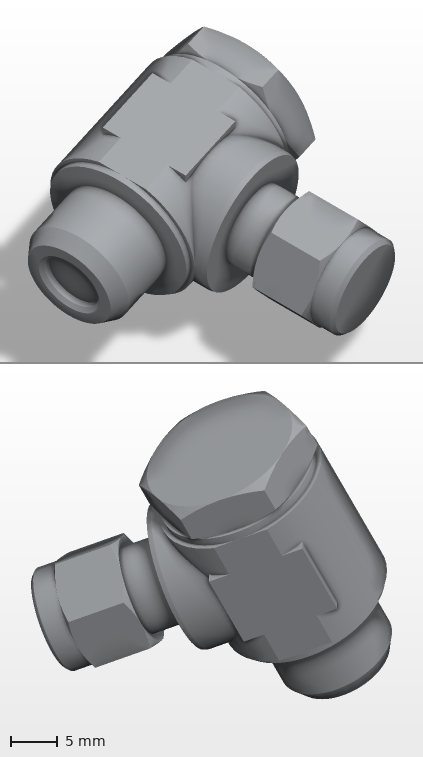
import cadquery as cq
import math


barrel_radius = 9.53
barrel_half_length = 8.5
body_half_height = 18.0 / 2
pad_half_length_x = 5.48
pad_half_width_y = 4.5

collar_radius = body_half_height
bolt_head_start = 9.45
bolt_head_end = 13.85
bolt_head_across_flats = 17.05
seat_edge = -9.25
seat_bottom = -9.55
stem_radius = 6.55
stem_end = -18.15
stem_tip_radius = 5.48
stem_tip_length = 1.8
recess_mouth_radius = 4.0
recess_radius = 3.55
recess_chamfer_depth = 0.45
recess_depth = 1.2

branch_radius = barrel_half_length
branch_end = 11.05
branch_edge_length = 0.57
branch_edge_drop = 0.15
neck_radius = 4.95
nut_start = 15.47
nut_end = 23.0
nut_across_flats = 11.92
nut_dish_depth = 0.35
sleeve_radius = 5.87
sleeve_end = 25.95
sleeve_chamfer = 0.45

hex_chamfer_angle = math.radians(30)


def revolve_y(profile):
    """Revolve (radius, y) points about the Y axis."""
    return cq.Workplane("XY").polyline(profile).close().revolve(360, (0, 0, 0), (0, 1, 0))


def revolve_x(profile):
    """Revolve (x, radius) points about the X axis."""
    return cq.Workplane("XY").polyline(profile).close().revolve(360, (0, 0, 0), (1, 0, 0))


def chamfered_hex(across_flats, length):
    """Hexagon rising from z = 0, corners on X, with both ends turned to a cone."""
    corner_radius = across_flats / math.sqrt(3)
    end_radius = across_flats / 2
    cone_length = (corner_radius - end_radius) * math.tan(hex_chamfer_angle)
    prism = cq.Workplane("XY").polygon(6, 2 * corner_radius).extrude(length)
    turned_blank = (
        cq.Workplane("XZ")
        .polyline([
            (0, 0),
            (end_radius, 0),
            (corner_radius, cone_length),
            (corner_radius, length - cone_length),
            (end_radius, length),
            (0, length),
        ])
        .close()
        .revolve(360, (0, 0, 0), (0, 1, 0))
    )
    return prism.intersect(turned_blank)


def make_body():
    barrel = revolve_y([
        (0, -barrel_half_length),
        (barrel_radius, -barrel_half_length),
        (barrel_radius, barrel_half_length),
        (0, barrel_half_length),
    ])
    flat_limits = cq.Workplane("XY").box(
        2 * barrel_radius, 2 * barrel_half_length, 2 * body_half_height
    )
    pads = cq.Workplane("XY").box(
        2 * pad_half_length_x, 2 * pad_half_width_y, 2 * body_half_height
    )
    return barrel.intersect(flat_limits).union(pads)


def make_bolt():
    shank = revolve_y([
        (0, bolt_head_start),
        (collar_radius, bolt_head_start),
        (collar_radius, seat_edge),
        (stem_radius, seat_bottom),
        (stem_radius, stem_end + stem_tip_length),
        (stem_tip_radius, stem_end),
        (recess_mouth_radius, stem_end),
        (recess_radius, stem_end + recess_chamfer_depth),
        (recess_radius, stem_end + recess_depth),
        (0, stem_end + recess_depth),
    ])
    head = (
        chamfered_hex(bolt_head_across_flats, bolt_head_end - bolt_head_start)
        .rotate((0, 0, 0), (1, 0, 0), -90)
        .translate((0, bolt_head_start, 0))
    )
    return shank.union(head)


def make_branch():
    turned = revolve_x([
        (0, 0),
        (0, branch_radius),
        (branch_end - branch_edge_length, branch_radius),
        (branch_end, branch_radius - branch_edge_drop),
        (branch_end, neck_radius),
        (nut_end, neck_radius),
        (nut_end, sleeve_radius),
        (sleeve_end - sleeve_chamfer, sleeve_radius),
        (sleeve_end, sleeve_radius - sleeve_chamfer),
        (sleeve_end, 0),
    ])
    nut = (
        chamfered_hex(nut_across_flats, nut_end - nut_start)
        .rotate((0, 0, 0), (0, 0, 1), 90)
        .rotate((0, 0, 0), (0, 1, 0), 90)
        .translate((nut_start, 0, 0))
    )
    face_hollow = revolve_x([
        (nut_start, 0),
        (nut_start, nut_across_flats / 2),
        (nut_start + nut_dish_depth, neck_radius),
        (nut_start + nut_dish_depth, 0),
    ])
    return turned.union(nut.cut(face_hollow))


result = make_body().union(make_bolt()).union(make_branch())